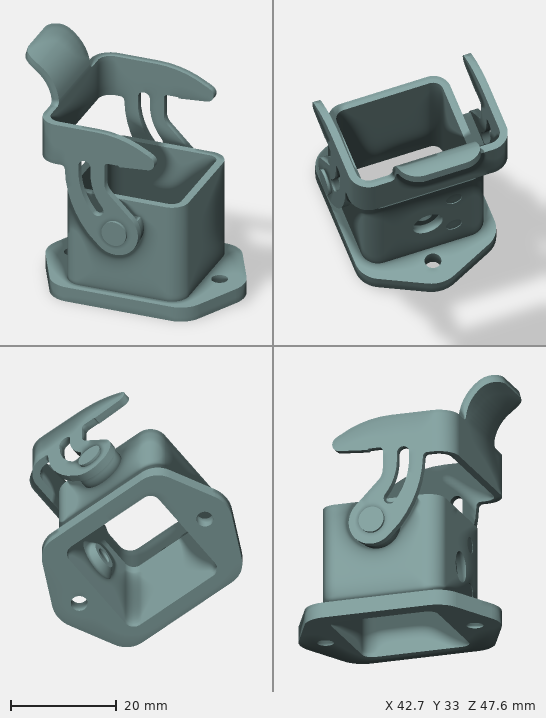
import cadquery as cq
import math

plate_thickness = 3.0
plate_half_width = 14.0
plate_half_length = 20.04
plate_corner_x = 10.7
plate_corner_radius = 5.0
plate_tip_radius = 6.0
plate_hole_diameter = 3.2
plate_hole_x = 15.0

housing_size = 24.4
housing_height = 23.0
housing_corner_radius = 3.4
wall = 1.5
cavity_corner_radius = 2.0
cavity_size = housing_size - 2 * wall

screw_z = 12.1
screw_hole_diameter = 3.1
counterbore_diameter = 6.0
counterbore_depth = 1.8
screw_boss_height = 1.6
screw_boss_base_diameter = 8.6
screw_boss_tip_diameter = 5.3
mark_diameter = 3.2
mark_depth = 0.15
mark_y = -5.27
mark_heights = (8.9, 18.15)

pivot_z = 17.65
pin_diameter = 5.0
pin_half_span = 16.5
collar_radius = 4.45
collar_flat_height = 2.3

sheet = 1.5
lever_half_width = 15.9
lever_back_x = -16.0
lever_bend_radius = 4.0
lever_front_x = 8.5
band_top_z = 38.3
band_bottom_z = 30.0
lug_radius = 4.7
nose_arc_radius = 19.5
nose_arc_start_x = -3.75
nose_arc_end_x = 6.25
nose_shoulder_middle = (6.75, 35.3)
nose_shoulder_end = (7.15, 35.02)
nose_tip_x = 8.0
nose_tip_z = 33.8
nose_bottom = (6.7, 32.25)
hook_z = 32.05
hook_nub_base_x = 0.7
hook_nub_tip = (0.95, 31.8)
strap_front_x = -2.14
strap_front_corner_radius = 3.2
hook_corner_radius = 0.75
strap_back_top_x = -10.2
strap_back_middle = (-8.75, 22.1)
strap_back_bottom_x = -5.5
strap_back_corner_radius = 0.8

slot_width = 2.45
slot_top = (-6.2, 30.5)
slot_bend_z = 29.2
slot_bend_radius = 11.8
slot_end_z = 21.75

tab_width = 16.0
tab_outer_radius = 9.345
tab_end_angle = math.radians(74)
tab_flat_length = 1.04
tab_corner_radius = 4.0
tab_root_radius = 1.0


def make_plate():
    tip_center_x = plate_half_length - plate_tip_radius
    corner_center_y = plate_half_width - plate_corner_radius
    run = tip_center_x - plate_corner_x
    center_distance = math.hypot(run, corner_center_y)
    flank_angle = math.atan2(run, corner_center_y) + math.asin(
        (plate_tip_radius - plate_corner_radius) / center_distance
    )
    apex_x = tip_center_x + plate_tip_radius / math.cos(flank_angle)
    shoulder_x = apex_x - plate_half_width * math.tan(flank_angle)
    outline = [
        (apex_x, 0),
        (shoulder_x, plate_half_width),
        (-shoulder_x, plate_half_width),
        (-apex_x, 0),
        (-shoulder_x, -plate_half_width),
        (shoulder_x, -plate_half_width),
    ]
    plate = cq.Workplane("XY").polyline(outline).close().extrude(plate_thickness)
    tips = cq.selectors.BoxSelector(
        (-apex_x - 1, -1, -1), (apex_x + 1, 1, plate_thickness + 1)
    )
    plate = plate.edges("|Z").edges(tips).fillet(plate_tip_radius)
    for side in (">Y", "<Y"):
        plate = plate.faces(side).edges("|Z").fillet(plate_corner_radius)
    holes = (
        cq.Workplane("XY")
        .pushPoints([(-plate_hole_x, 0), (plate_hole_x, 0)])
        .circle(plate_hole_diameter / 2)
        .extrude(plate_thickness)
    )
    return plate.cut(holes)


def square_post(size, radius):
    post = cq.Workplane("XY").rect(size, size).extrude(housing_height)
    return post.edges("|Z").fillet(radius)


def wall_cylinder(diameter, depth, y, z):
    """Cylinder running inward from the outer face of the -X wall."""
    return (
        cq.Workplane("YZ", origin=(-housing_size / 2, y, z))
        .circle(diameter / 2)
        .extrude(depth)
    )


def add_screw_seat(body):
    boss = (
        cq.Workplane("YZ", origin=(-cavity_size / 2, 0, screw_z))
        .circle(screw_boss_base_diameter / 2)
        .workplane(offset=screw_boss_height)
        .circle(screw_boss_tip_diameter / 2)
        .loft()
    )
    body = body.union(boss)
    body = body.cut(wall_cylinder(screw_hole_diameter, wall + screw_boss_height, 0, screw_z))
    body = body.cut(wall_cylinder(counterbore_diameter, counterbore_depth, 0, screw_z))
    for z in mark_heights:
        body = body.cut(wall_cylinder(mark_diameter, mark_depth, mark_y, z))
    return body


def make_pivot():
    """Pin and flat-topped collar on the +Y side of the housing."""
    start_y = housing_size / 2
    plane = cq.Plane(origin=(0, start_y, pivot_z), xDir=(1, 0, 0), normal=(0, 1, 0))
    collar_length = lever_half_width - sheet - start_y
    half_flat = math.sqrt(collar_radius**2 - collar_flat_height**2)
    collar = (
        cq.Workplane(plane)
        .moveTo(-half_flat, -collar_flat_height)
        .threePointArc((0, collar_radius), (half_flat, -collar_flat_height))
        .close()
        .extrude(collar_length)
    )
    pin = (
        cq.Workplane(plane)
        .workplane(offset=collar_length)
        .circle(pin_diameter / 2)
        .extrude(pin_half_span - start_y - collar_length)
    )
    return collar.union(pin)


def side_cutter(profile):
    """Extrude an XZ profile across the full width of the lever."""
    return profile.extrude(pin_half_span, both=True)


def lever_strip():
    length = lever_front_x - lever_back_x
    height = band_top_z
    outer = (
        cq.Workplane("XY")
        .box(length, 2 * lever_half_width, height, centered=(False, True, False))
        .edges("|Z and <X")
        .fillet(lever_bend_radius)
    )
    inner = (
        cq.Workplane("XY", origin=(sheet, 0, 0))
        .box(length, 2 * (lever_half_width - sheet), height, centered=(False, True, False))
        .edges("|Z and <X")
        .fillet(lever_bend_radius - sheet)
    )
    return outer.cut(inner).translate((lever_back_x, 0, 0))


def lever_profile():
    """Side profile of the lever: band, nose, hook edge, strap and pivot lug."""
    diagonal = math.sqrt(0.5)
    nose_drop = nose_arc_radius - math.sqrt(
        nose_arc_radius**2 - (nose_arc_end_x - nose_arc_start_x) ** 2
    )
    nose_middle_run = (nose_arc_end_x - nose_arc_start_x) / 2
    nose_middle_drop = nose_arc_radius - math.sqrt(nose_arc_radius**2 - nose_middle_run**2)
    lug_offset = lug_radius * diagonal
    front_line_sum = pivot_z + lug_radius / diagonal
    back_line_sum = pivot_z - lug_radius / diagonal
    strap_corner_z = front_line_sum - strap_front_x
    setback = strap_front_corner_radius * math.tan(math.pi / 8)
    strap_arc_inset = strap_front_corner_radius * (1 - math.cos(math.pi / 8))
    strap_arc_drop = strap_front_corner_radius * math.sin(math.pi / 8)
    hook_arc_inset = hook_corner_radius * (1 - diagonal)
    back_arc_inset = strap_back_corner_radius * (1 - diagonal)
    return (
        cq.Workplane("XZ")
        .moveTo(lever_back_x, band_top_z)
        .lineTo(nose_arc_start_x, band_top_z)
        .threePointArc(
            (nose_arc_start_x + nose_middle_run, band_top_z - nose_middle_drop),
            (nose_arc_end_x, band_top_z - nose_drop),
        )
        .threePointArc(nose_shoulder_middle, nose_shoulder_end)
        .threePointArc((nose_tip_x, nose_tip_z), nose_bottom)
        .lineTo(*hook_nub_tip)
        .lineTo(hook_nub_base_x, hook_z)
        .lineTo(strap_front_x + hook_corner_radius, hook_z)
        .threePointArc(
            (strap_front_x + hook_arc_inset, hook_z - hook_arc_inset),
            (strap_front_x, hook_z - hook_corner_radius),
        )
        .lineTo(strap_front_x, strap_corner_z + setback)
        .threePointArc(
            (strap_front_x + strap_arc_inset, strap_corner_z + setback - strap_arc_drop),
            (strap_front_x + setback * diagonal, strap_corner_z - setback * diagonal),
        )
        .lineTo(lug_offset, pivot_z + lug_offset)
        .threePointArc(
            (lug_offset, pivot_z - lug_offset),
            (-lug_offset, pivot_z - lug_offset),
        )
        .lineTo(strap_back_bottom_x, back_line_sum - strap_back_bottom_x)
        .threePointArc(
            strap_back_middle,
            (strap_back_top_x, band_bottom_z - strap_back_corner_radius),
        )
        .threePointArc(
            (strap_back_top_x - back_arc_inset, band_bottom_z - back_arc_inset),
            (strap_back_top_x - strap_back_corner_radius, band_bottom_z),
        )
        .lineTo(lever_back_x, band_bottom_z)
        .close()
    )


def slot_profile():
    """Slot of constant width: a short straight, then a bend toward the pivot."""
    half = slot_width / 2
    top_x, top_z = slot_top
    bend_center_x = top_x + slot_bend_radius
    end_angle = math.asin((slot_bend_z - slot_end_z) / slot_bend_radius)

    def bend_point(radius, angle):
        return (
            bend_center_x - radius * math.cos(angle),
            slot_bend_z - radius * math.sin(angle),
        )

    outer = slot_bend_radius + half
    inner = slot_bend_radius - half
    end_x, end_z = bend_point(slot_bend_radius, end_angle)
    end_cap = (
        end_x + half * math.sin(end_angle),
        end_z - half * math.cos(end_angle),
    )
    return (
        cq.Workplane("XZ")
        .moveTo(top_x - half, top_z)
        .lineTo(top_x - half, slot_bend_z)
        .threePointArc(bend_point(outer, end_angle / 2), bend_point(outer, end_angle))
        .threePointArc(end_cap, bend_point(inner, end_angle))
        .threePointArc(bend_point(inner, end_angle / 2), (top_x + half, slot_bend_z))
        .lineTo(top_x + half, top_z)
        .threePointArc((top_x, top_z + half), (top_x - half, top_z))
        .close()
    )


def make_tab():
    """Finger tab: rises from the band, curls back over -X and ends in a short flat."""
    inner_radius = tab_outer_radius - sheet
    center_x = lever_back_x + sheet - tab_outer_radius
    flat_run = tab_flat_length * math.sin(tab_end_angle)
    flat_rise = tab_flat_length * math.cos(tab_end_angle)

    def arc_point(radius, angle):
        return (
            center_x + radius * math.cos(angle),
            band_top_z + radius * math.sin(angle),
        )

    def flat_end(radius):
        x, z = arc_point(radius, tab_end_angle)
        return (x - flat_run, z + flat_rise)

    half = tab_width / 2
    flare = half + tab_root_radius
    curl = (
        cq.Workplane("XZ")
        .moveTo(*arc_point(inner_radius, 0))
        .threePointArc(
            arc_point(inner_radius, tab_end_angle / 2),
            arc_point(inner_radius, tab_end_angle),
        )
        .lineTo(*flat_end(inner_radius))
        .lineTo(*flat_end(tab_outer_radius))
        .lineTo(*arc_point(tab_outer_radius, tab_end_angle))
        .threePointArc(
            arc_point(tab_outer_radius, tab_end_angle / 2),
            arc_point(tab_outer_radius, 0),
        )
        .close()
        .extrude(flare, both=True)
    )

    root_top_z = band_top_z + tab_root_radius
    above_tab_z = band_top_z + 2 * tab_outer_radius
    inset = tab_root_radius * (1 - math.sqrt(0.5))
    face_outline = (
        cq.Workplane("YZ", origin=(center_x, 0, 0))
        .moveTo(-flare, band_top_z)
        .threePointArc((-half - inset, band_top_z + inset), (-half, root_top_z))
        .lineTo(-half, above_tab_z)
        .lineTo(half, above_tab_z)
        .lineTo(half, root_top_z)
        .threePointArc((half + inset, band_top_z + inset), (flare, band_top_z))
        .close()
        .extrude(tab_outer_radius, both=True)
    )
    tab = curl.intersect(face_outline)

    tip_x, tip_z = flat_end(tab_outer_radius)
    tip_plane = cq.Plane(
        origin=(tip_x, 0, tip_z),
        xDir=(-math.sin(tab_end_angle), 0, math.cos(tab_end_angle)),
        normal=(math.cos(tab_end_angle), 0, math.sin(tab_end_angle)),
    )
    arc_start = tab_corner_radius * (1 - math.sqrt(0.5))
    for side in (1, -1):
        corner = (
            cq.Workplane(tip_plane)
            .moveTo(-tab_corner_radius, side * half)
            .threePointArc(
                (-arc_start, side * (half - arc_start)),
                (0, side * (half - tab_corner_radius)),
            )
            .lineTo(0, side * half)
            .close()
            .extrude(tab_corner_radius, both=True)
        )
        tab = tab.cut(corner)
    return tab


def make_lever():
    lever = lever_strip().intersect(side_cutter(lever_profile()))
    lever = lever.cut(side_cutter(slot_profile()))
    return lever.union(make_tab())


body = make_plate().union(square_post(housing_size, housing_corner_radius))
body = body.cut(square_post(cavity_size, cavity_corner_radius))
body = add_screw_seat(body)
pivot = make_pivot()
body = body.union(pivot).union(pivot.mirror("XZ"))

result = body.union(make_lever())